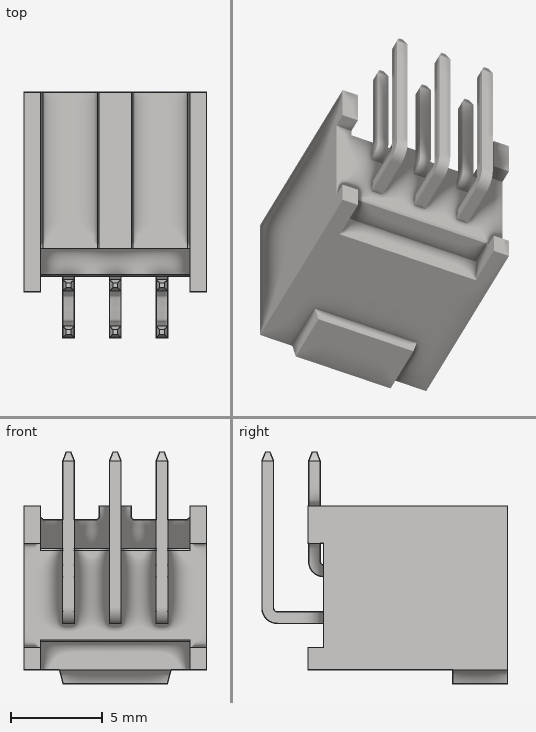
import cadquery as cq


housing_width = 9.95
wall_thickness = 0.91
wall_depth = 10.9
block_depth = 10.05
hood_depth = 8.52
housing_bottom = 0.76
housing_top = 9.72
hood_top = 8.96
block_bottom = 2.3
block_top = 7.38
foot_notch_bottom = 2.0
foot_notch_top = 7.66
block_chamfer = 0.1
channel_width = housing_width - 2 * wall_thickness

rib_width = 1.77
rib_chamfer = 0.1
wall_chamfer = 0.13

tab_depth = 3.0
tab_height = housing_bottom
tab_root_width = 6.08
tab_tip_width = 5.68

pin_size = 0.64
pin_pitch = 2.55
pins_per_row = 3
row_count = 2
pin_top = 12.65
tip_height = 0.5
tip_size = 0.25
inner_bend_radius = 0.2
outer_bend_radius = inner_bend_radius + pin_size
pin_embed = 0.67
lower_pin_front = 13.4
lower_pin_bottom = 3.3


def make_walls():
    """Two side walls; each front edge is notched to leave an upper and a lower foot."""
    outline = (
        cq.Workplane("YZ")
        .moveTo(0, housing_bottom)
        .lineTo(-wall_depth, housing_bottom)
        .lineTo(-wall_depth, foot_notch_bottom)
        .lineTo(-block_depth, foot_notch_bottom)
        .lineTo(-block_depth, foot_notch_top)
        .lineTo(-wall_depth, foot_notch_top)
        .lineTo(-wall_depth, housing_top)
        .lineTo(0, housing_top)
        .close()
    )
    right_wall = outline.extrude(wall_thickness).translate((channel_width / 2, 0, 0))
    return right_wall.union(right_wall.mirror("YZ"))


def make_hood():
    """Body between the walls, with the rib and the bevelled corners of its two channels."""
    half_channel = channel_width / 2
    half_rib = rib_width / 2
    right_half = (
        cq.Workplane("XZ")
        .moveTo(0, housing_bottom)
        .lineTo(half_channel, housing_bottom)
        .lineTo(half_channel, hood_top + wall_chamfer)
        .lineTo(half_channel - wall_chamfer, hood_top)
        .lineTo(half_rib + rib_chamfer, hood_top)
        .lineTo(half_rib, hood_top + rib_chamfer)
        .lineTo(half_rib, housing_top)
        .lineTo(0, housing_top)
        .close()
        .extrude(hood_depth)
    )
    return right_half.union(right_half.mirror("YZ"))


def make_block():
    """Pin block between the walls, bevelled along the top and bottom of its front face."""
    block = (
        cq.Workplane("XY")
        .box(channel_width, block_depth - hood_depth, block_top - block_bottom, centered=(True, False, False))
        .translate((0, -block_depth, block_bottom))
    )
    return block.faces("<Y").edges("|X").chamfer(block_chamfer)


def make_tab():
    """Latch tab that narrows downwards."""
    return (
        cq.Workplane("XZ")
        .moveTo(-tab_root_width / 2, tab_height)
        .lineTo(tab_root_width / 2, tab_height)
        .lineTo(tab_tip_width / 2, 0)
        .lineTo(-tab_tip_width / 2, 0)
        .close()
        .extrude(tab_depth)
    )


def make_pin(front, bottom):
    """Square pin on X = 0 that leaves the block, bends upwards and ends in a blunt pyramid."""
    y_outer = -front
    y_inner = y_outer + pin_size
    y_root = -block_depth + pin_embed
    shank_top = pin_top - tip_height
    leg_top = bottom + pin_size
    pin = (
        cq.Workplane("YZ")
        .moveTo(y_root, bottom)
        .lineTo(y_outer + outer_bend_radius, bottom)
        .radiusArc((y_outer, bottom + outer_bend_radius), outer_bend_radius)
        .lineTo(y_outer, shank_top)
        .lineTo(y_inner, shank_top)
        .lineTo(y_inner, leg_top + inner_bend_radius)
        .radiusArc((y_inner + inner_bend_radius, leg_top), -inner_bend_radius)
        .lineTo(y_root, leg_top)
        .close()
        .extrude(pin_size / 2, both=True)
    )
    tip = (
        cq.Workplane("XY")
        .workplane(offset=shank_top)
        .center(0, y_outer + pin_size / 2)
        .rect(pin_size, pin_size)
        .workplane(offset=tip_height)
        .rect(tip_size, tip_size)
        .loft()
    )
    return pin.union(tip)


result = make_walls().union(make_hood()).union(make_block()).union(make_tab())

for row in range(row_count):
    row_pin = make_pin(lower_pin_front - row * pin_pitch, lower_pin_bottom + row * pin_pitch)
    for column in range(pins_per_row):
        x_offset = (column - (pins_per_row - 1) / 2) * pin_pitch
        result = result.union(row_pin.translate((x_offset, 0, 0)))